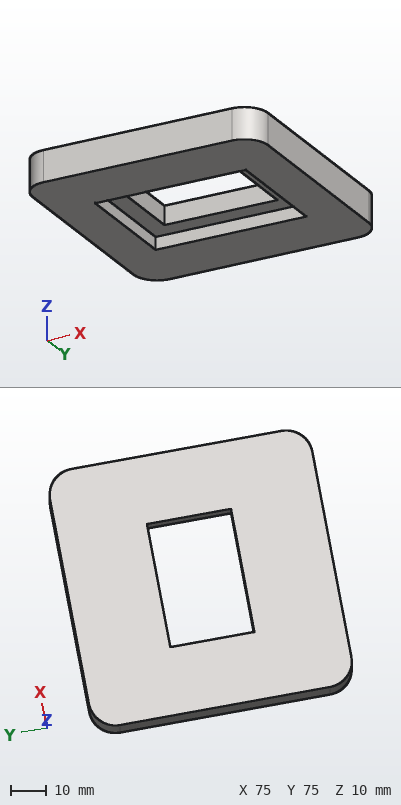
import cadquery as cq

plate_side = 75.0
plate_thickness = 10.0
corner_radius = plate_side / 10

window_length = 36.0
window_width = 24.0
window_depth = 6.0

recess_margin = 6.0
recess_length = window_length + 2 * recess_margin
recess_width = window_width + 2 * recess_margin
recess_depth = plate_thickness - window_depth


def make_blank():
    """Square plate with rounded upright edges, standing on Z = 0."""
    square = cq.Workplane("XY").rect(plate_side, plate_side).extrude(plate_thickness)
    return square.edges("|Z").fillet(corner_radius)


def make_window():
    """Cutter for the window, as tall as the plate."""
    return cq.Workplane("XY").rect(window_length, window_width).extrude(plate_thickness)


def make_recess():
    """Cutter for the recess around the lower part of the window."""
    return cq.Workplane("XY").rect(recess_length, recess_width).extrude(recess_depth)


plate = make_blank().cut(make_window()).cut(make_recess())

result = cq.Compound.makeCompound([plate.val()])